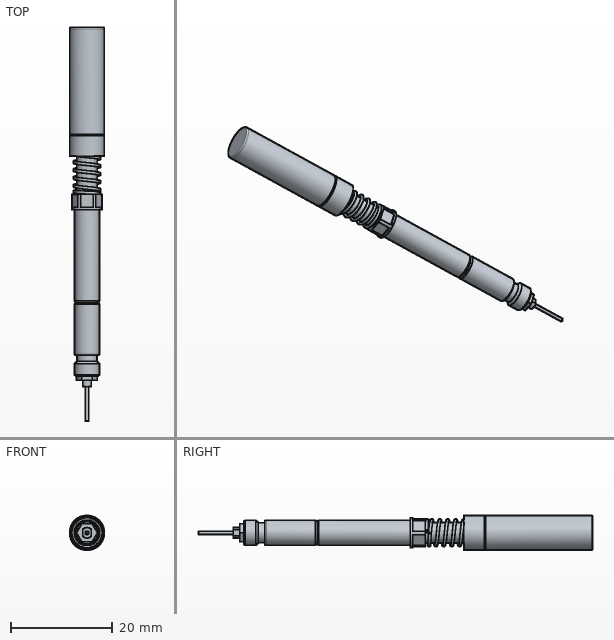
import cadquery as cq
import math

LENGTH = 78.0

SLEEVE_DIAMETER = 6.9
SLEEVE_FRONT = 52.5
SLEEVE_END_FILLET = 0.3
SLEEVE_GROOVE_CENTRE = 56.7
SLEEVE_GROOVE_WIDTH = 0.3
SLEEVE_GROOVE_DEPTH = 0.1
RECESS_DIAMETER = 6.3
RECESS_DEPTH = 0.5

ROD_DIAMETER = 4.1

SPRING_DIAMETER = 5.5
WIRE_DIAMETER = 0.6
SPRING_PITCH = 1.57
CLOSED_PITCH = 0.7
SPRING_START = 45.1
CLOSED_TURNS = 1
ACTIVE_TURNS = 4.75

COLLAR_BACK = 44.9
COLLAR_FLATS = 5.5
FLANGE_DIAMETER = 6.0
FLANGE_BACK = 42.4
FLANGE_FRONT = 41.9

BARREL_DIAMETER = 5.0
BARREL_GROOVE_CENTRE = 23.5
BARREL_GROOVE_WIDTH = 0.7
BARREL_GROOVE_DEPTH = 0.25

NECK_DIAMETER = 4.0
BARREL_END_FILLET = 0.3
NECK_BACK = 13.1
NECK_FRONT = 11.9
NOSE_BACK = 11.4
NOSE_FRONT = 8.95
NOSE_CHAMFER = 0.3

FRONT_HEX_FLATS = 3.6
FRONT_HEX_FRONT = 8.15
HOLDER_DIAMETER = 2.1
HOLDER_WIDTH = 1.7
HOLDER_FRONT = 6.9
PIN_DIAMETER = 0.7
PIN_TIP_CHAMFER = 0.1


def cylinder(diameter, front, back):
    """Round bar on the probe axis between two Y stations."""
    return cq.Workplane("XZ", origin=(0, back, 0)).circle(diameter / 2).extrude(back - front)


def hexagon(across_flats, front, back):
    """Hexagonal bar on the axis with two of its flats facing up and down."""
    across_corners = across_flats / math.cos(math.pi / 6)
    return cq.Workplane("XZ", origin=(0, back, 0)).polygon(6, across_corners).extrude(back - front)


def v_groove(diameter, centre, width, depth):
    """Ring with a V section that cuts a groove around a bar."""
    radius = diameter / 2
    section = [
        (radius, centre - width / 2),
        (radius - depth, centre),
        (radius, centre + width / 2),
    ]
    return cq.Workplane("XY").polyline(section).close().revolve(360, (0, 0, 0), (0, 1, 0))


def make_sleeve():
    sleeve = cylinder(SLEEVE_DIAMETER, SLEEVE_FRONT, LENGTH)
    sleeve = sleeve.faces(">Y").edges().fillet(SLEEVE_END_FILLET)
    groove = v_groove(SLEEVE_DIAMETER, SLEEVE_GROOVE_CENTRE, SLEEVE_GROOVE_WIDTH, SLEEVE_GROOVE_DEPTH)
    recess = cylinder(RECESS_DIAMETER, SLEEVE_FRONT, SLEEVE_FRONT + RECESS_DEPTH)
    return sleeve.cut(groove).cut(recess)


def make_coil(start, pitch, turns):
    """Left-handed coil that climbs toward +Y, starting on the +X side."""
    coil_radius = (SPRING_DIAMETER - WIRE_DIAMETER) / 2
    path = cq.Wire.makeHelix(pitch, pitch * turns, coil_radius, lefthand=True)
    section = cq.Workplane("XZ", origin=(coil_radius, 0, 0)).circle(WIRE_DIAMETER / 2)
    coil = section.sweep(cq.Workplane(path), isFrenet=True)
    return coil.rotate((0, 0, 0), (1, 0, 0), -90).translate((0, start, 0))


def make_spring():
    """One nearly closed turn against the collar, then open turns up into the sleeve."""
    closed = make_coil(SPRING_START, CLOSED_PITCH, CLOSED_TURNS)
    active_start = SPRING_START + CLOSED_PITCH * CLOSED_TURNS
    active = make_coil(active_start, SPRING_PITCH, ACTIVE_TURNS)
    return closed.union(active)


def make_collar():
    collar = hexagon(COLLAR_FLATS, FLANGE_BACK, COLLAR_BACK)
    collar = collar.intersect(cylinder(FLANGE_DIAMETER, FLANGE_BACK, COLLAR_BACK))
    return collar.union(cylinder(FLANGE_DIAMETER, FLANGE_FRONT, FLANGE_BACK))


def make_barrel():
    """Barrel, waisted neck and nose turned as one profile."""
    barrel_radius = BARREL_DIAMETER / 2
    neck_radius = NECK_DIAMETER / 2
    profile = cq.Workplane("XY").moveTo(0, FLANGE_FRONT).lineTo(barrel_radius, FLANGE_FRONT)
    profile = profile.lineTo(barrel_radius, NECK_BACK + BARREL_END_FILLET)
    profile = profile.radiusArc((barrel_radius - BARREL_END_FILLET, NECK_BACK), BARREL_END_FILLET)
    profile = profile.lineTo(neck_radius, NECK_BACK).lineTo(neck_radius, NECK_FRONT)
    profile = profile.lineTo(barrel_radius, NOSE_BACK)
    profile = profile.lineTo(barrel_radius, NOSE_FRONT + NOSE_CHAMFER)
    profile = profile.lineTo(barrel_radius - NOSE_CHAMFER, NOSE_FRONT).lineTo(0, NOSE_FRONT)
    barrel = profile.close().revolve(360, (0, 0, 0), (0, 1, 0))
    return barrel.cut(
        v_groove(BARREL_DIAMETER, BARREL_GROOVE_CENTRE, BARREL_GROOVE_WIDTH, BARREL_GROOVE_DEPTH)
    )


def make_contact():
    """Front hexagon, round holder with a flat on each X side, and the slender pin."""
    hex_bar = hexagon(FRONT_HEX_FLATS, FRONT_HEX_FRONT, NOSE_BACK)
    holder = cylinder(HOLDER_DIAMETER, HOLDER_FRONT, FRONT_HEX_FRONT)
    flats = cq.Workplane("XZ", origin=(0, FRONT_HEX_FRONT, 0))
    flats = flats.rect(HOLDER_WIDTH, HOLDER_DIAMETER).extrude(FRONT_HEX_FRONT - HOLDER_FRONT)
    pin = cylinder(PIN_DIAMETER, 0, HOLDER_FRONT).faces("<Y").chamfer(PIN_TIP_CHAMFER)
    return hex_bar.union(holder.intersect(flats)).union(pin)


result = (
    cylinder(ROD_DIAMETER, COLLAR_BACK, SLEEVE_FRONT + RECESS_DEPTH)
    .union(make_sleeve())
    .union(make_collar())
    .union(make_spring())
    .union(make_barrel())
    .union(make_contact())
)